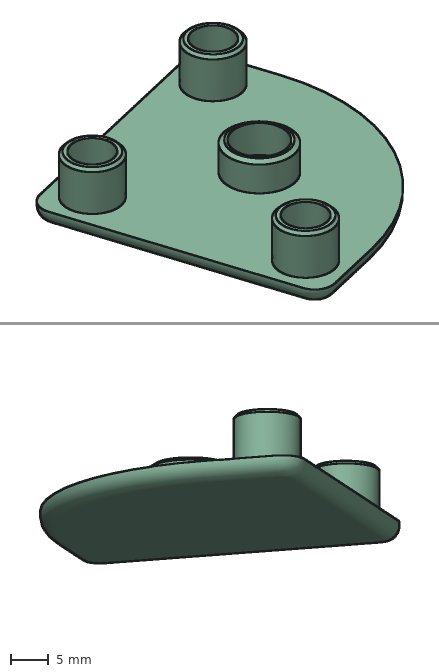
import cadquery as cq
import math

side = 45.0
plate_thickness = 2.48
lip_height = 0.5
edge_radius = plate_thickness - lip_height
corner_radius = 3.1
sweep_radius = 31.95

tube_inset = 6.25
tube_diameter = 8.9
tube_bore = 6.6
tube_height = 7.0
tube_chamfer = 0.5

hub_diameter = 10.85
hub_bore = 8.45
hub_height = 5.0
hub_chamfer_width = 0.75
hub_chamfer_height = 0.5


def make_plate():
    """Plate with its lower left corner at the origin and a rounded lower edge."""
    sweep_start = side - sweep_radius
    sweep_middle = sweep_start + sweep_radius * math.sqrt(0.5)
    plate = (
        cq.Workplane("XY")
        .lineTo(side, 0)
        .lineTo(side, sweep_start)
        .threePointArc((sweep_middle, sweep_middle), (sweep_start, side))
        .lineTo(0, side)
        .close()
        .extrude(plate_thickness)
    )
    plate = plate.edges("|Z and (<X or <Y)").fillet(corner_radius)
    return plate.faces("<Z").edges().fillet(edge_radius)


def make_tube(diameter, bore, height, chamfer_width, chamfer_height):
    """Tube standing on the XY plane with a bevel around its outer rim."""
    outer = diameter / 2
    inner = bore / 2
    profile = [
        (inner, 0),
        (outer, 0),
        (outer, height - chamfer_height),
        (outer - chamfer_width, height),
        (inner, height),
    ]
    return cq.Workplane("XZ").polyline(profile).close().revolve(360, (0, 0, 0), (0, 1, 0))


result = make_plate()

far_inset = side - tube_inset
tube = make_tube(tube_diameter, tube_bore, tube_height, tube_chamfer, tube_chamfer)
for x, y in [(tube_inset, tube_inset), (far_inset, tube_inset), (tube_inset, far_inset)]:
    result = result.union(tube.translate((x, y, plate_thickness)))

hub = make_tube(hub_diameter, hub_bore, hub_height, hub_chamfer_width, hub_chamfer_height)
result = result.union(hub.translate((side / 2, side / 2, plate_thickness)))